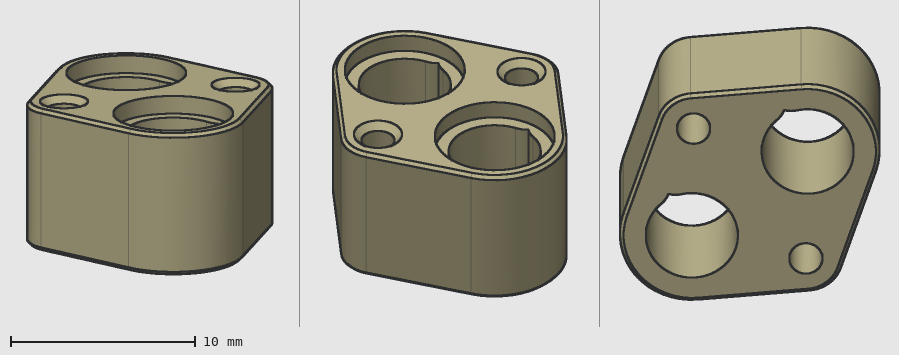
import cadquery as cq
import math

length = 15.8
width = 13.8
height = 8.0
bore_offset = 4.0
screw_offset = 4.9
end_radius = length / 2 - bore_offset
tip_radius = width / 2 - screw_offset
edge_chamfer = 0.2

bore_radius = 2.5
counterbore_diameter = 6.5
counterbore_depth = 1.0

notch_angle = 101.0
notch_peak_radius = 2.75
notch_flank_radius = 1.5

screw_diameter = 1.8
countersink_diameter = 2.6
countersink_angle = 90.0


def polar(radius, angle):
    return (radius * math.cos(angle), radius * math.sin(angle))


def make_body():
    center_distance = math.hypot(bore_offset, screw_offset)
    line_angle = math.atan2(screw_offset, -bore_offset)
    normal_angle = line_angle - math.acos((end_radius - tip_radius) / center_distance)
    normal_x, normal_y = polar(1, normal_angle)
    end_x = bore_offset + end_radius * normal_x
    end_y = end_radius * normal_y
    tip_x = tip_radius * normal_x
    tip_y = screw_offset + tip_radius * normal_y
    return (
        cq.Workplane("XY")
        .moveTo(end_x, -end_y)
        .threePointArc((length / 2, 0), (end_x, end_y))
        .lineTo(tip_x, tip_y)
        .threePointArc((0, width / 2), (-tip_x, tip_y))
        .lineTo(-end_x, end_y)
        .threePointArc((-length / 2, 0), (-end_x, -end_y))
        .lineTo(-tip_x, -tip_y)
        .threePointArc((0, -width / 2), (tip_x, -tip_y))
        .close()
        .extrude(height)
        .faces("<Z or >Z")
        .chamfer(edge_chamfer)
    )


def make_notch(bore_x):
    flank_distance = bore_radius + notch_flank_radius
    half_angle = math.acos(
        (flank_distance**2 + notch_peak_radius**2 - notch_flank_radius**2)
        / (2 * flank_distance * notch_peak_radius)
    )
    middle_angle = math.radians(notch_angle)
    peak = polar(notch_peak_radius, middle_angle)

    def flank(side):
        angle = middle_angle + side * half_angle
        start = polar(bore_radius, angle)
        center_x, center_y = polar(flank_distance, angle)
        chord_x = (start[0] + peak[0]) / 2 - center_x
        chord_y = (start[1] + peak[1]) / 2 - center_y
        stretch = notch_flank_radius / math.hypot(chord_x, chord_y)
        middle = (center_x + chord_x * stretch, center_y + chord_y * stretch)
        return start, middle

    right_start, right_middle = flank(-1)
    left_start, left_middle = flank(1)
    return (
        cq.Workplane("XY", origin=(bore_x, 0, 0))
        .lineTo(*right_start)
        .threePointArc(right_middle, peak)
        .threePointArc(left_middle, left_start)
        .close()
        .extrude(height)
    )


result = (
    make_body()
    .faces(">Z")
    .workplane(origin=(0, 0, height))
    .pushPoints([(-bore_offset, 0), (bore_offset, 0)])
    .cboreHole(2 * bore_radius, counterbore_diameter, counterbore_depth)
    .faces(">Z")
    .workplane(origin=(0, 0, height))
    .pushPoints([(0, -screw_offset), (0, screw_offset)])
    .cskHole(screw_diameter, countersink_diameter, countersink_angle)
)

for notch_x in (-bore_offset, bore_offset):
    result = result.cut(make_notch(notch_x))